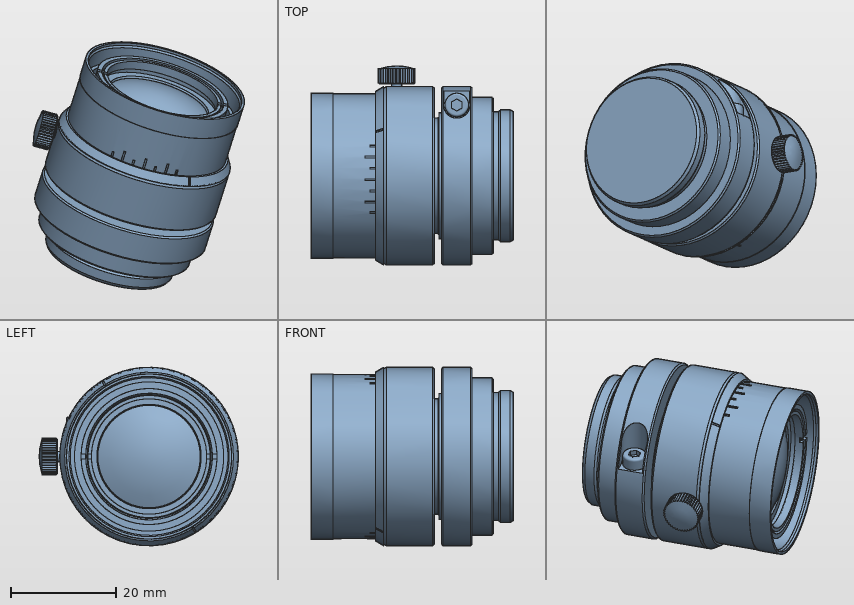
import cadquery as cq
import math

LENGTH = 38.5
OVERALL_WIDTH = 37.95
BARREL_RADIUS = 34.0 / 2
FRONT_RIM_RADIUS = 31.5 / 2
SCALE_RADIUS = 31.3 / 2
MOUNT_RADIUS = 25.2 / 2
REAR_BODY_RADIUS = 30.0 / 2
EDGE_CHAMFER = 0.3

RIM_END = 4.15
APERTURE_START = 12.25
APERTURE_CONE_END = 13.83
APERTURE_STEP_END = 14.35
APERTURE_END = 23.45
NECK_END = 24.35
NECK_CONE_LENGTH = 0.25
CLAMP_START = 24.8
CLAMP_END = 30.65
REAR_BODY_END = 34.7
MOUNT_NECK_END = 35.65
MOUNT_CONE_LENGTH = 0.42
MOUNT_CHAMFER_LENGTH = 0.6

APERTURE_FRONT_RADIUS = 16.05
APERTURE_STEP = 0.27
NECK_RADIUS = 11.0
NECK_CONE_RADIUS = 11.2
COLLAR_RADIUS = 12.0
MOUNT_NECK_RADIUS = 12.2

RIM_BORE_RADIUS = 15.25
RIM_BORE_DEPTH = 0.5
FILTER_RADIUS = 30.0 / 2
FILTER_CONE_DEPTH = 0.9
FILTER_SHELF_DEPTH = 4.1
GROOVE_OUTER_RADIUS = 14.2
GROOVE_DEPTH = 9.63
RETAINER_RADIUS = 12.95
RETAINER_DEPTH = 1.58
RETAINER_INNER_RADIUS = 12.05
RETAINER_TAPER_RADIUS = 11.8
RETAINER_TAPER_DEPTH = 2.7
RETAINER_GAP_DEPTH = 3.1
INNER_LAND_RADIUS = 11.63
INNER_LAND_DEPTH = 1.75
LIP_RADIUS = 10.98
LIP_DEPTH = 3.35
UNDERCUT_RADIUS = 23.0 / 2
SEAT_DEPTH = 4.3
GLASS_BEVEL_RADIUS = 9.95
GLASS_RADIUS = 19.5 / 2
GLASS_EDGE_DEPTH = 4.7
GLASS_APEX_DEPTH = 2.43

SLOT_WIDTH = 1.0
SLOT_DEPTH = 2.43

KNOB_X = 16.3
KNOB_RADIUS = 3.5
KNOB_BOTTOM = 17.45
KNOB_SHOULDER = 20.4
KNOB_TOP = OVERALL_WIDTH - BARREL_RADIUS
KNOB_CHAMFER = 0.27
KNOB_TEETH = 40
KNURL_DEPTH = 0.25
STEM_RADIUS = 2.0 / 2
STEM_EMBED = 1.15

SCREW_X = (CLAMP_START + CLAMP_END) / 2
SCREW_Y = 13.48
SCREW_SEAT_Z = 5.25
SCREW_HEAD_RADIUS = 4.5 / 2
SCREW_HEAD_HEIGHT = 2.3
SCREW_HEAD_FILLET = 0.42
SCREW_EMBED = 0.4
SCREW_POCKET_RADIUS = 2.5
POCKET_CHANNEL_WIDTH = 4.78
SOCKET_ACROSS_CORNERS = 2.3
SOCKET_DEPTH = 0.95

MARK_WIDTH = 0.35
MARK_DEPTH = 0.1
MARK_OVERCUT = 0.4
SHORT_MARK = 1.0
LONG_MARK = 2.0
MARK_COUNT = 7
MARK_PITCH_ANGLE = 8.0
FIRST_MARK_ANGLE = 21.3
INDEX_ANGLE = 31.6


def lens_body():
    """Revolve the half section of the lens about the X axis."""
    glass_sag = GLASS_EDGE_DEPTH - GLASS_APEX_DEPTH
    glass_sphere = (GLASS_RADIUS**2 + glass_sag**2) / (2 * glass_sag)
    mid_radius = GLASS_RADIUS / 2
    mid_sag = glass_sphere - math.sqrt(glass_sphere**2 - mid_radius**2)

    front_recess = [
        (SEAT_DEPTH, GLASS_BEVEL_RADIUS),
        (SEAT_DEPTH, UNDERCUT_RADIUS),
        (LIP_DEPTH, UNDERCUT_RADIUS),
        (LIP_DEPTH, LIP_RADIUS),
        (INNER_LAND_DEPTH, LIP_RADIUS),
        (INNER_LAND_DEPTH, INNER_LAND_RADIUS),
        (RETAINER_GAP_DEPTH, INNER_LAND_RADIUS),
        (RETAINER_GAP_DEPTH, RETAINER_TAPER_RADIUS),
        (RETAINER_TAPER_DEPTH, RETAINER_INNER_RADIUS),
        (RETAINER_DEPTH, RETAINER_INNER_RADIUS),
        (RETAINER_DEPTH, RETAINER_RADIUS),
        (GROOVE_DEPTH, RETAINER_RADIUS),
        (GROOVE_DEPTH, GROOVE_OUTER_RADIUS),
        (FILTER_SHELF_DEPTH, GROOVE_OUTER_RADIUS),
        (FILTER_SHELF_DEPTH, FILTER_RADIUS),
        (FILTER_CONE_DEPTH, FILTER_RADIUS),
        (RIM_BORE_DEPTH, RIM_BORE_RADIUS),
        (0, RIM_BORE_RADIUS),
    ]
    front_barrel = [
        (0, FRONT_RIM_RADIUS),
        (RIM_END, FRONT_RIM_RADIUS),
        (RIM_END, SCALE_RADIUS),
        (APERTURE_START, SCALE_RADIUS),
        (APERTURE_START, APERTURE_FRONT_RADIUS),
        (APERTURE_CONE_END, BARREL_RADIUS),
        (APERTURE_CONE_END, BARREL_RADIUS - APERTURE_STEP),
        (APERTURE_STEP_END, BARREL_RADIUS),
        (APERTURE_END - EDGE_CHAMFER, BARREL_RADIUS),
        (APERTURE_END, BARREL_RADIUS - EDGE_CHAMFER),
    ]
    clamp_section = [
        (APERTURE_END, NECK_RADIUS),
        (NECK_END - NECK_CONE_LENGTH, NECK_RADIUS),
        (NECK_END, NECK_CONE_RADIUS),
        (NECK_END, COLLAR_RADIUS),
        (CLAMP_START, COLLAR_RADIUS),
        (CLAMP_START, BARREL_RADIUS - EDGE_CHAMFER),
        (CLAMP_START + EDGE_CHAMFER, BARREL_RADIUS),
        (CLAMP_END - EDGE_CHAMFER, BARREL_RADIUS),
        (CLAMP_END, BARREL_RADIUS - EDGE_CHAMFER),
    ]
    rear_mount = [
        (CLAMP_END, REAR_BODY_RADIUS),
        (REAR_BODY_END - EDGE_CHAMFER, REAR_BODY_RADIUS),
        (REAR_BODY_END, REAR_BODY_RADIUS - EDGE_CHAMFER),
        (REAR_BODY_END, MOUNT_NECK_RADIUS),
        (MOUNT_NECK_END, MOUNT_NECK_RADIUS),
        (MOUNT_NECK_END + MOUNT_CONE_LENGTH, MOUNT_RADIUS),
        (LENGTH - MOUNT_CHAMFER_LENGTH, MOUNT_RADIUS),
        (LENGTH, MOUNT_NECK_RADIUS),
        (LENGTH, 0),
    ]
    section = (
        cq.Workplane("XY")
        .moveTo(GLASS_APEX_DEPTH, 0)
        .threePointArc(
            (GLASS_APEX_DEPTH + mid_sag, mid_radius),
            (GLASS_EDGE_DEPTH, GLASS_RADIUS),
        )
    )
    for x, radius in front_recess + front_barrel + clamp_section + rear_mount:
        section = section.lineTo(x, radius)
    return section.close().revolve(360, (0, 0, 0), (1, 0, 0))


def spanner_slots():
    """Two slots on the Y axis through the retaining ring and its inner land."""
    blank = cq.Workplane("XY").box(
        SLOT_DEPTH, 2 * RETAINER_RADIUS, SLOT_WIDTH,
        centered=(False, True, True),
    )
    core = cq.Workplane("YZ").circle(LIP_RADIUS).extrude(SLOT_DEPTH)
    return blank.cut(core)


def scale_mark(x_start, radius_start, x_end, radius_end, angle):
    """Cutter for one engraved line; the angle leans from +Z toward +Y."""
    return (
        cq.Workplane("XZ", origin=(0, MARK_WIDTH / 2, 0))
        .polyline([
            (x_start, radius_start - MARK_DEPTH),
            (x_end, radius_end - MARK_DEPTH),
            (x_end, radius_end + MARK_OVERCUT),
            (x_start, radius_start + MARK_OVERCUT),
        ])
        .close()
        .extrude(MARK_WIDTH)
        .rotate((0, 0, 0), (1, 0, 0), -angle)
    )


def scale_marks():
    """Aperture scale lines and index lines on both sides of the lens."""
    marks = cq.Workplane("XY")
    for side_angle in (0, 180):
        for i in range(MARK_COUNT):
            length = LONG_MARK if i % 2 else SHORT_MARK
            angle = side_angle + FIRST_MARK_ANGLE - i * MARK_PITCH_ANGLE
            start = APERTURE_START - length
            marks = marks.add(scale_mark(start, SCALE_RADIUS, APERTURE_START, SCALE_RADIUS, angle))
        marks = marks.add(scale_mark(
            APERTURE_START, APERTURE_FRONT_RADIUS,
            APERTURE_CONE_END, BARREL_RADIUS,
            side_angle + INDEX_ANGLE,
        ))
    return marks.combine()


def knurled_knob():
    """Domed, fluted knob on a plain stem, pointing along +Y."""
    knurl_outline = []
    for i in range(2 * KNOB_TEETH):
        radius = KNOB_RADIUS - KNURL_DEPTH * (i % 2)
        angle = math.pi * i / KNOB_TEETH
        knurl_outline.append((radius * math.cos(angle), radius * math.sin(angle)))
    fluted = cq.Workplane("XY").polyline(knurl_outline).close().extrude(KNOB_TOP)

    dome_height = KNOB_TOP - KNOB_SHOULDER
    dome_base = KNOB_RADIUS - KNOB_CHAMFER
    dome_sphere = (dome_base**2 + dome_height**2) / (2 * dome_height)
    mid_radius = dome_base / 2
    mid_height = KNOB_TOP - dome_sphere + math.sqrt(dome_sphere**2 - mid_radius**2)
    envelope = (
        cq.Workplane("XZ")
        .moveTo(0, KNOB_BOTTOM)
        .lineTo(KNOB_RADIUS - KNOB_CHAMFER, KNOB_BOTTOM)
        .lineTo(KNOB_RADIUS, KNOB_BOTTOM + KNOB_CHAMFER)
        .lineTo(KNOB_RADIUS, KNOB_SHOULDER)
        .lineTo(dome_base, KNOB_SHOULDER)
        .threePointArc((mid_radius, mid_height), (0, KNOB_TOP))
        .close()
        .revolve(360, (0, 0, 0), (0, 1, 0))
    )
    stem_start = BARREL_RADIUS - STEM_EMBED
    stem = (
        cq.Workplane("XY", origin=(0, 0, stem_start))
        .circle(STEM_RADIUS)
        .extrude(KNOB_BOTTOM + KNOB_CHAMFER - stem_start)
    )
    knob = fluted.intersect(envelope).union(stem)
    return knob.rotate((0, 0, 0), (1, 0, 0), -90).translate((KNOB_X, 0, 0))


def screw_pocket():
    """Round screw pocket with a narrower channel out through the clamp ring."""
    seat = cq.Workplane("XY", origin=(SCREW_X, SCREW_Y, SCREW_SEAT_Z))
    round_end = seat.circle(SCREW_POCKET_RADIUS).extrude(BARREL_RADIUS)
    channel = seat.box(
        POCKET_CHANNEL_WIDTH, BARREL_RADIUS, BARREL_RADIUS,
        centered=(True, False, False),
    )
    return round_end.union(channel)


def clamp_screw():
    """Socket head of the clamp screw, resting on the pocket floor."""
    return (
        cq.Workplane("XY", origin=(SCREW_X, SCREW_Y, SCREW_SEAT_Z - SCREW_EMBED))
        .circle(SCREW_HEAD_RADIUS)
        .extrude(SCREW_HEAD_HEIGHT + SCREW_EMBED)
        .faces(">Z")
        .fillet(SCREW_HEAD_FILLET)
        .faces(">Z")
        .workplane()
        .transformed(rotate=(0, 0, 90))
        .polygon(6, SOCKET_ACROSS_CORNERS)
        .cutBlind(-SOCKET_DEPTH)
    )


result = (
    lens_body()
    .cut(spanner_slots())
    .cut(scale_marks())
    .cut(screw_pocket())
    .union(clamp_screw())
    .union(knurled_knob())
)